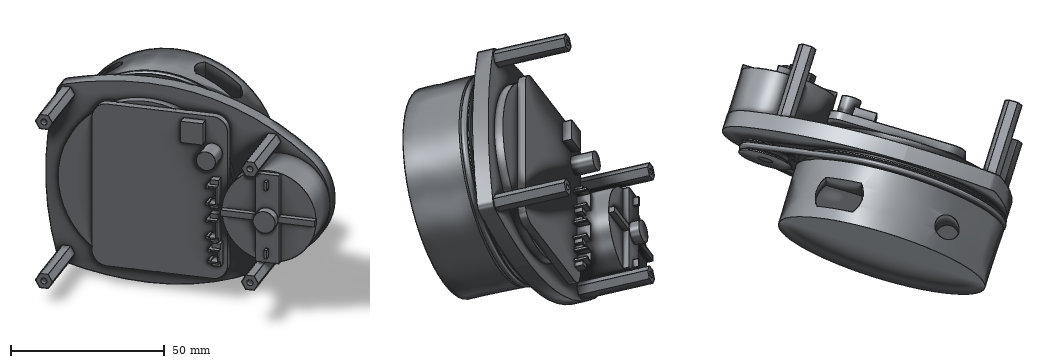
import cadquery as cq
import math


PLATE_THICK = 5.5
PLATE_REACH = 35.1
SIDE_RADIUS = 110
FLANK_RADIUS = 85
NOSE_X = 61.6
CORNER_RADIUS = 3
PAD_THICK = 0.2

DISC_DIA = 59.8
DISC_THICK = 3
BOARD_SIZE = (46, 57)
BOARD_X = 5.45
BOARD_THICK = 2.75
BOARD_CORNER = 5
BOARD_FACE_Y = -(DISC_THICK + BOARD_THICK)

BLOCK_SIZE = 7.5
BLOCK_HEIGHT = 3.2
BLOCK_CENTRE = (17.3, 23.2)
CAPACITOR_DIA = 6.5
CAPACITOR_HEIGHT = 7.75
CAPACITOR_CENTRE = (23.5, 15.9)

CONNECTORS = [(26.3, 2.5, 6.7), (26.3, -9.4, 6.7), (27, -18.8, 4.7)]
CONNECTOR_HEIGHT = 4.65
CONNECTOR_DEPTH = 3.8
CONNECTOR_WALL = 0.5
ARM_THICK = 0.5
LIP_THICK = 0.8
LIP_LENGTH = 0.9
EAR_LENGTH = 1.6
EAR_DEPTH = 2.9
EAR_HEIGHT = 2.85

STANDOFF_LENGTH = 25
STANDOFF_FLATS = 5
STANDOFF_CENTRES = [(-28, 28), (-28, -28), (42, 20), (42, -20)]
SCREW_HOLE_DIA = 2.05
SCREW_HOLE_DEPTH = 6
DRILL_TIP_ANGLE = 118

MOTOR_X = 45.5
MOTOR_DIA = 32
MOTOR_LENGTH = 15.3
MOTOR_CLEARANCE = 0.5
RIB_HEIGHT = 2.1
WIDE_RIB = 8
NARROW_RIB = 2.1
NARROW_RIB_START = 29.6
STUB_DIA = 7.5
STUB_HEIGHT = 3.4
TERMINAL_SIZE = (0.9, 3)
TERMINAL_HEIGHT = 1.9
TERMINAL_OFFSET = 12
SHAFT_DIA = 5

BELT_DIA = 1.95
BELT_Y = 8.7
RIM_THICK = 3.8
GROOVE_MOUTH = 2.9
GROOVE_FLOOR = 1.4
BELT_PROUD = 0.29
RIM_FRONT_Y = BELT_Y - RIM_THICK / 2
RIM_BACK_Y = BELT_Y + RIM_THICK / 2

HEAD_RIM_DIA = 70.78
HEAD_BACK_DIA = 70.2
HEAD_BACK_Y = 30.07
NECK_DIA = 67
PULLEY_DIA = 18
PULLEY_PAD_DIA = 7.5

EYE_Y = 21.2
EYE_FLOOR_Z = 15
ROUND_EYE_X = -19.5
ROUND_EYE_DIA = 7.82
WIDE_EYE_X = 17.1
WIDE_EYE_DIA = 15.6
WIDE_EYE_HEIGHT = 10


def sketch_plane(y):
    """Workplane at depth y whose local axes are X and Z; positive extrusion goes towards -Y."""
    return cq.Workplane("XZ", origin=(0, y, 0))


def cylinder(x, z, diameter, y_start, y_end):
    return sketch_plane(y_end).center(x, z).circle(diameter / 2).extrude(y_end - y_start)


def block(x_range, z_range, y_start, y_end):
    width = x_range[1] - x_range[0]
    height = z_range[1] - z_range[0]
    plane = sketch_plane(y_end).center(sum(x_range) / 2, sum(z_range) / 2)
    return plane.rect(width, height).extrude(y_end - y_start)


def revolve_about_y(profile):
    """Full turn about the Y axis of a profile given as (radius, y) points."""
    return cq.Workplane("XY").polyline(profile).close().revolve(360, (0, 0, 0), (0, 1, 0))


def make_plate():
    """Shield-shaped plate: bowed left edge, bowed flanks and a round nose, all mirrored about z = 0."""
    drop = SIDE_RADIUS - PLATE_REACH
    corner = (math.sqrt(2 * SIDE_RADIUS**2 - drop**2) - drop) / 2
    side_angle = math.asin(corner / SIDE_RADIUS) / 2
    flank_mid = (-SIDE_RADIUS * math.sin(side_angle), SIDE_RADIUS * math.cos(side_angle) - drop)

    flank_z = PLATE_REACH - FLANK_RADIUS
    nose_radius = (FLANK_RADIUS**2 - NOSE_X**2 - flank_z**2) / (2 * (FLANK_RADIUS - NOSE_X))
    nose_angle = math.atan2(NOSE_X - nose_radius, -flank_z)

    def flank_point(angle):
        return (FLANK_RADIUS * math.sin(angle), flank_z + FLANK_RADIUS * math.cos(angle))

    def mirrored(point):
        return (point[0], -point[1])

    flank_half = flank_point(nose_angle / 2)
    flank_end = flank_point(nose_angle)
    plate = (
        sketch_plane(PLATE_THICK)
        .moveTo(-corner, -corner)
        .threePointArc((-PLATE_REACH, 0), (-corner, corner))
        .threePointArc(flank_mid, (0, PLATE_REACH))
        .threePointArc(flank_half, flank_end)
        .threePointArc((NOSE_X, 0), mirrored(flank_end))
        .threePointArc(mirrored(flank_half), (0, -PLATE_REACH))
        .threePointArc(mirrored(flank_mid), (-corner, -corner))
        .close()
        .extrude(PLATE_THICK)
    )
    return plate.edges("|Y").edges("<X").fillet(CORNER_RADIUS)


def make_pad():
    """Thin raised face: the outline wrapped around the head neck and the motor shaft."""
    big = NECK_DIA / 2
    small = PULLEY_PAD_DIA / 2
    tangent_angle = math.acos((big - small) / MOTOR_X)
    cos_t, sin_t = math.cos(tangent_angle), math.sin(tangent_angle)
    return (
        sketch_plane(PLATE_THICK + PAD_THICK)
        .moveTo(big * cos_t, -big * sin_t)
        .threePointArc((-big, 0), (big * cos_t, big * sin_t))
        .lineTo(MOTOR_X + small * cos_t, small * sin_t)
        .threePointArc((MOTOR_X + small, 0), (MOTOR_X + small * cos_t, -small * sin_t))
        .close()
        .extrude(PAD_THICK)
    )


def make_connector(x_end, z_centre, channel):
    """Channel open towards -X, with a lip on each arm tip and a low ear at each end."""
    half = channel / 2
    top_y = BOARD_FACE_Y - CONNECTOR_HEIGHT
    x_tip = x_end - CONNECTOR_DEPTH

    def centred_block(x_range, half_length, y_start):
        return block(x_range, (z_centre - half_length, z_centre + half_length), y_start, BOARD_FACE_Y)

    body = centred_block((x_tip, x_end), half, top_y)
    ears = centred_block((x_end - EAR_DEPTH, x_end), half + EAR_LENGTH, BOARD_FACE_Y - EAR_HEIGHT)
    mouth = centred_block((x_tip, x_tip + LIP_LENGTH), half - LIP_THICK, top_y)
    cavity = centred_block((x_tip + LIP_LENGTH, x_end - CONNECTOR_WALL), half - ARM_THICK, top_y)
    return body.union(ears).cut(mouth).cut(cavity)


def make_standoff(x, z):
    """Hexagonal post with a drilled screw hole in its free end."""
    across_corners = STANDOFF_FLATS / math.cos(math.pi / 6)
    post = sketch_plane(0).center(x, z).polygon(6, across_corners).extrude(STANDOFF_LENGTH)
    hole_radius = SCREW_HOLE_DIA / 2
    tip_depth = SCREW_HOLE_DEPTH + hole_radius / math.tan(math.radians(DRILL_TIP_ANGLE / 2))
    drill = revolve_about_y([(0, 0), (hole_radius, 0), (hole_radius, SCREW_HOLE_DEPTH), (0, tip_depth)])
    return post.cut(drill.translate((x, -STANDOFF_LENGTH, z)))


def make_base():
    base = make_plate().union(make_pad())

    disc = cylinder(0, 0, DISC_DIA, -DISC_THICK, 0)
    disc = disc.cut(cylinder(MOTOR_X, 0, MOTOR_DIA + 2 * MOTOR_CLEARANCE, -DISC_THICK, 0))
    board = (
        sketch_plane(-DISC_THICK)
        .center(BOARD_X, 0)
        .rect(*BOARD_SIZE)
        .extrude(BOARD_THICK)
        .edges("|Y")
        .fillet(BOARD_CORNER)
    )
    base = base.union(disc).union(board)

    parts_plane = sketch_plane(BOARD_FACE_Y)
    base = base.union(parts_plane.center(*BLOCK_CENTRE).rect(BLOCK_SIZE, BLOCK_SIZE).extrude(BLOCK_HEIGHT))
    base = base.union(
        parts_plane.center(*CAPACITOR_CENTRE).circle(CAPACITOR_DIA / 2).extrude(CAPACITOR_HEIGHT)
    )
    for x_end, z_centre, channel in CONNECTORS:
        base = base.union(make_connector(x_end, z_centre, channel))
    for x, z in STANDOFF_CENTRES:
        base = base.union(make_standoff(x, z))

    return base.cut(cylinder(MOTOR_X, 0, SHAFT_DIA, 0, PLATE_THICK + PAD_THICK))


def make_groove(rim_dia):
    """Ring-shaped cutter about the Y axis with sloping walls; the belt rests on its floor."""
    rim_radius = rim_dia / 2
    floor_radius = rim_radius + BELT_PROUD - BELT_DIA
    profile = [
        (rim_radius, BELT_Y - GROOVE_MOUTH / 2),
        (rim_radius, BELT_Y + GROOVE_MOUTH / 2),
        (floor_radius, BELT_Y + GROOVE_FLOOR / 2),
        (floor_radius, BELT_Y - GROOVE_FLOOR / 2),
    ]
    return revolve_about_y(profile)


def make_head():
    neck_radius = NECK_DIA / 2
    rim_radius = HEAD_RIM_DIA / 2
    neck_y = PLATE_THICK + PAD_THICK
    profile = [
        (0, neck_y),
        (neck_radius, neck_y),
        (neck_radius, RIM_FRONT_Y),
        (rim_radius, RIM_FRONT_Y),
        (rim_radius, RIM_BACK_Y),
        (HEAD_BACK_DIA / 2, HEAD_BACK_Y),
        (0, HEAD_BACK_Y),
    ]
    head = revolve_about_y(profile).cut(make_groove(HEAD_RIM_DIA))

    eye_plane = cq.Workplane("XY", origin=(0, EYE_Y, EYE_FLOOR_Z))
    round_eye = eye_plane.center(ROUND_EYE_X, 0).circle(ROUND_EYE_DIA / 2).extrude(HEAD_RIM_DIA)
    wide_plane = eye_plane.center(WIDE_EYE_X, 0)
    wide_eye = wide_plane.circle(WIDE_EYE_DIA / 2).extrude(HEAD_RIM_DIA)
    wide_eye = wide_eye.intersect(wide_plane.rect(WIDE_EYE_DIA, WIDE_EYE_HEIGHT).extrude(HEAD_RIM_DIA))
    return head.cut(round_eye).cut(wide_eye)


def make_motor():
    motor = cylinder(MOTOR_X, 0, MOTOR_DIA, -MOTOR_LENGTH, 0)
    rib_y = -MOTOR_LENGTH - RIB_HEIGHT

    wide_end = math.sqrt((MOTOR_DIA / 2) ** 2 - (WIDE_RIB / 2) ** 2)
    wide_x = (MOTOR_X - WIDE_RIB / 2, MOTOR_X + WIDE_RIB / 2)
    motor = motor.union(block(wide_x, (-wide_end, wide_end), rib_y, -MOTOR_LENGTH))
    narrow_z = (-NARROW_RIB / 2, NARROW_RIB / 2)
    motor = motor.union(block((NARROW_RIB_START, NOSE_X), narrow_z, rib_y, -MOTOR_LENGTH))

    rib_face = sketch_plane(rib_y)
    motor = motor.union(rib_face.center(MOTOR_X, 0).circle(STUB_DIA / 2).extrude(STUB_HEIGHT))
    for z in (TERMINAL_OFFSET, -TERMINAL_OFFSET):
        motor = motor.union(rib_face.center(MOTOR_X, z).rect(*TERMINAL_SIZE).extrude(TERMINAL_HEIGHT))

    return motor.union(cylinder(MOTOR_X, 0, SHAFT_DIA, 0, RIM_BACK_Y))


def make_pulley():
    pulley = cylinder(0, 0, PULLEY_DIA, RIM_FRONT_Y, RIM_BACK_Y)
    pulley = pulley.cut(make_groove(PULLEY_DIA))
    pulley = pulley.cut(cylinder(0, 0, SHAFT_DIA, RIM_FRONT_Y, RIM_BACK_Y))
    return pulley.translate((MOTOR_X, 0, 0))


def make_belt():
    """Round belt: two arcs about the head and the pulley, joined by the outer tangent lines."""
    big = HEAD_RIM_DIA / 2 + BELT_PROUD - BELT_DIA / 2
    small = PULLEY_DIA / 2 + BELT_PROUD - BELT_DIA / 2
    tangent_angle = math.acos((big - small) / MOTOR_X)
    cos_t, sin_t = math.cos(tangent_angle), math.sin(tangent_angle)
    path = (
        sketch_plane(BELT_Y)
        .moveTo(-big, 0)
        .threePointArc((-big * sin_t, big * cos_t), (big * cos_t, big * sin_t))
        .lineTo(MOTOR_X + small * cos_t, small * sin_t)
        .threePointArc((MOTOR_X + small, 0), (MOTOR_X + small * cos_t, -small * sin_t))
        .lineTo(big * cos_t, -big * sin_t)
        .threePointArc((-big * sin_t, -big * cos_t), (-big, 0))
        .close()
    )
    section = cq.Workplane("XY").center(-big, BELT_Y).circle(BELT_DIA / 2)
    return section.sweep(path)


base = make_base().solids()
head = make_head().solids()
motor = make_motor().solids()
pulley = make_pulley().solids()
belt = make_belt().solids()

result = cq.Compound.makeCompound([base.val(), head.val(), motor.val(), pulley.val(), belt.val()])